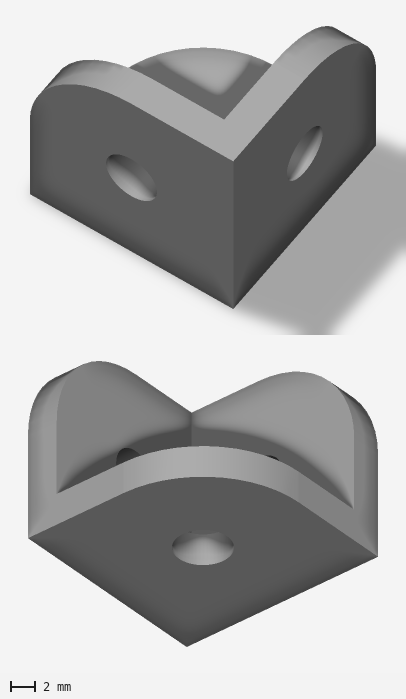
import cadquery as cq

side = 20.0
thickness = 3.0
hole_diameter = 5.0
corner_radius = side / 2
center = side / 2


def plate_outline(plane):
    """Square outline from the origin with its far corner (side, side) rounded."""
    return (
        cq.Workplane(plane)
        .lineTo(side, 0)
        .lineTo(side, side - corner_radius)
        .radiusArc((side - corner_radius, side), -corner_radius)
        .lineTo(0, side)
        .close()
    )


def plate(plane):
    """Plate with one rounded corner and a central through hole."""
    blank = plate_outline(plane).extrude(thickness)
    hole = cq.Workplane(plane).center(center, center).circle(hole_diameter / 2).extrude(thickness)
    return blank.cut(hole)


shared_corner = (side, 0, 0)
floor_plane = cq.Plane(origin=shared_corner, xDir=(0, 1, 0), normal=(0, 0, 1))
front_plane = cq.Plane(origin=shared_corner, xDir=(-1, 0, 0), normal=(0, 1, 0))
side_plane = cq.Plane(origin=shared_corner, xDir=(0, 0, 1), normal=(-1, 0, 0))

result = plate(floor_plane).union(plate(front_plane)).union(plate(side_plane))